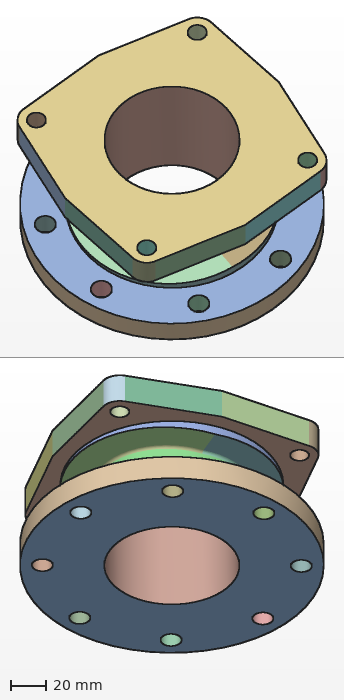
import cadquery as cq
import math

TOTAL_HEIGHT = 73.15
BORE_DIAMETER = 76.2
NECK_DIAMETER = 88.9
NECK_FILLET = 1.5

FLANGE_DIAMETER = 171.45
FLANGE_THICKNESS = 14.8
FLANGE_HOLE_COUNT = 8
FLANGE_HOLE_DIAMETER = 11.9
FLANGE_BOLT_CIRCLE = 146.05

PLATE_WIDTH = 146.05
PLATE_THICKNESS = 17.8
PLATE_SIDE_ANGLE = 7.5
PLATE_HOLE_SPACING = 110.0
PLATE_HOLE_DIAMETER = 10.7
PLATE_CORNER_RADIUS = 10.7

LOWER_PAD_DIAMETER = 120.65
UPPER_PAD_DIAMETER = 126.0
PAD_HEIGHT = 5.6
PAD_SLOPE_ANGLE = 3.0

PLATE_BOTTOM = TOTAL_HEIGHT - PLATE_THICKNESS
NECK_LENGTH = PLATE_BOTTOM - FLANGE_THICKNESS


def cylinder(diameter, bottom, top):
    return cq.Workplane("XY").workplane(offset=bottom).circle(diameter / 2).extrude(top - bottom)


def sloped_pad(diameter):
    """Round pad standing on Z = 0, its flat top falling toward +Y and PAD_HEIGHT high over the X axis."""
    radius = diameter / 2
    fall = radius * math.tan(math.radians(PAD_SLOPE_ANGLE))
    wedge = (
        cq.Workplane("YZ")
        .moveTo(-radius, 0)
        .lineTo(radius, 0)
        .lineTo(radius, PAD_HEIGHT - fall)
        .lineTo(-radius, PAD_HEIGHT + fall)
        .close()
        .extrude(radius, both=True)
    )
    return wedge.intersect(cylinder(diameter, 0, PAD_HEIGHT + fall))


def half_neck(pad_diameter):
    """Lower half of the neck on its ridged pad: the +Y side is shaped whole, halved and mirrored."""
    height = NECK_LENGTH / 2
    body = sloped_pad(pad_diameter).union(cylinder(NECK_DIAMETER, 0, height))
    reach = NECK_DIAMETER / 2 + NECK_FILLET
    joint_zone = cq.selectors.BoxSelector(
        (-reach, -reach, 0),
        (reach, reach, height - NECK_FILLET),
        boundingbox=True,
    )
    body = body.edges(joint_zone).fillet(NECK_FILLET)
    positive_y = cq.Workplane("XY").box(pad_diameter, pad_diameter, height, centered=(True, False, False))
    side = body.intersect(positive_y)
    return side.union(side.mirror("XZ"))


def make_neck():
    """Whole neck: one half stands on the flange, the other hangs upside down from the plate."""
    lower = half_neck(LOWER_PAD_DIAMETER).translate((0, 0, FLANGE_THICKNESS))
    upper = half_neck(UPPER_PAD_DIAMETER).rotate((0, 0, 0), (1, 0, 0), 180).translate((0, 0, PLATE_BOTTOM))
    return lower.union(upper)


def make_flange():
    """Round flange whose bolt holes straddle the X and Y axes."""
    half_pitch = 360 / FLANGE_HOLE_COUNT / 2
    holes = (
        cq.Workplane("XY")
        .polarArray(FLANGE_BOLT_CIRCLE / 2, half_pitch, 360, FLANGE_HOLE_COUNT)
        .circle(FLANGE_HOLE_DIAMETER / 2)
        .extrude(FLANGE_THICKNESS)
    )
    return cylinder(FLANGE_DIAMETER, 0, FLANGE_THICKNESS).cut(holes)


def make_plate():
    half_width = PLATE_WIDTH / 2
    corner = half_width / (1 + math.tan(math.radians(PLATE_SIDE_ANGLE)))
    outline = [
        (half_width, 0),
        (corner, corner),
        (0, half_width),
        (-corner, corner),
        (-half_width, 0),
        (-corner, -corner),
        (0, -half_width),
        (corner, -corner),
    ]
    plate = (
        cq.Workplane("XY")
        .workplane(offset=PLATE_BOTTOM)
        .polyline(outline)
        .close()
        .extrude(PLATE_THICKNESS)
    )
    for direction in [(1, 1, 0), (-1, 1, 0), (-1, -1, 0), (1, -1, 0)]:
        corner_edge = cq.selectors.DirectionMinMaxSelector(cq.Vector(*direction), True)
        plate = plate.edges("|Z").edges(corner_edge).fillet(PLATE_CORNER_RADIUS)
    holes = (
        cq.Workplane("XY")
        .workplane(offset=PLATE_BOTTOM)
        .rarray(PLATE_HOLE_SPACING, PLATE_HOLE_SPACING, 2, 2)
        .circle(PLATE_HOLE_DIAMETER / 2)
        .extrude(PLATE_THICKNESS)
    )
    return plate.cut(holes)


bore = cylinder(BORE_DIAMETER, 0, TOTAL_HEIGHT)
result = make_flange().union(make_neck()).union(make_plate()).cut(bore)